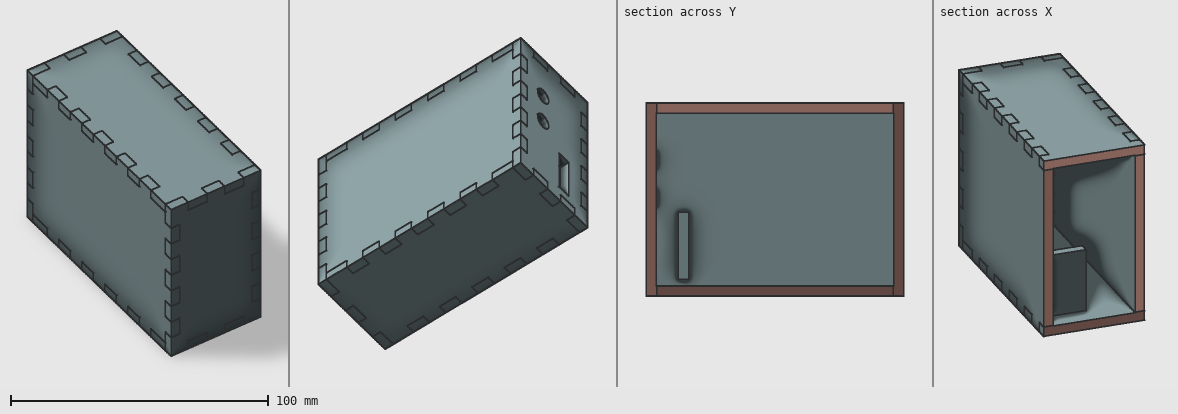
import cadquery as cq

LENGTH = 100.0
DEPTH = 42.0
HEIGHT = 75.0
WALL = 4.0

INNER_LENGTH = LENGTH - 2 * WALL
INNER_HEIGHT = HEIGHT - 2 * WALL

SIDE_TAB = 8.0
SIDE_TAB_PITCH = 2 * SIDE_TAB
SIDE_TABS_ALONG_X = 5
SIDE_TABS_ALONG_Z = 4

LID_TAB = 9.0
LID_TAB_GAP = 8.0
LID_TAB_PITCH = LID_TAB + LID_TAB_GAP
LID_TABS_ALONG_Y = 2

WALL_X = (LENGTH - WALL) / 2
WALL_Y = (DEPTH - WALL) / 2
WALL_Z = (HEIGHT - WALL) / 2

HOLE_DIAMETER = 7.0
HOLE_FROM_BACK = 14.0
UPPER_HOLE_FROM_TOP = 22.0
HOLE_Y = DEPTH / 2 - HOLE_FROM_BACK
UPPER_HOLE_Z = HEIGHT / 2 - UPPER_HOLE_FROM_TOP
HOLE_SPACING = 15.0
SLOT_WIDTH = 6.0
SLOT_HEIGHT = 20.0
SLOT_FROM_FRONT = 12.0
SLOT_FROM_BASE = 8.0
SLOT_Y = -DEPTH / 2 + SLOT_FROM_FRONT + SLOT_WIDTH / 2
SLOT_Z = -HEIGHT / 2 + SLOT_FROM_BASE + SLOT_HEIGHT / 2

RIB_FACE_X = -37.5
RIB_REACH = 15.0
RIB_BOTTOM_Z = -31.0
RIB_TOP_Z = -5.0


def block(size, center):
    """Rectangular block with the given (x, y, z) size and center."""
    return cq.Workplane("XY").box(*size).translate(center)


def row(count, pitch):
    """Centers of evenly spaced tabs, symmetric about zero."""
    return [(i - (count - 1) / 2) * pitch for i in range(count)]


def side_tabs_into_lid(y, z):
    """Tabs of a front or back plate that fill notches in a top or bottom plate."""
    return [block((SIDE_TAB, WALL, WALL), (x, y, z)) for x in row(SIDE_TABS_ALONG_X, SIDE_TAB_PITCH)]


def side_tabs_into_end(x, y):
    """Tabs of a front or back plate that fill notches in an end plate."""
    return [block((WALL, WALL, SIDE_TAB), (x, y, z)) for z in row(SIDE_TABS_ALONG_Z, SIDE_TAB_PITCH)]


def lid_tabs_into_end(x, z):
    """Tabs of a top or bottom plate that fill notches in an end plate."""
    return [block((WALL, LID_TAB, WALL), (x, y, z)) for y in row(LID_TABS_ALONG_Y, LID_TAB_PITCH)]


def add_all(plate, tabs):
    for tab in tabs:
        plate = plate.union(tab)
    return plate


def cut_all(plate, notches):
    for notch in notches:
        plate = plate.cut(notch)
    return plate


def side_plate(y):
    """Front or back plate, with tabs on all four edges."""
    plate = block((INNER_LENGTH, WALL, INNER_HEIGHT), (0, y, 0))
    for z in (-WALL_Z, WALL_Z):
        plate = add_all(plate, side_tabs_into_lid(y, z))
    for x in (-WALL_X, WALL_X):
        plate = add_all(plate, side_tabs_into_end(x, y))
    return plate


def lid_plate(z):
    """Top or bottom plate, with tabs on its ends and notches along its long edges."""
    plate = block((INNER_LENGTH, DEPTH, WALL), (0, 0, z))
    for x in (-WALL_X, WALL_X):
        plate = add_all(plate, lid_tabs_into_end(x, z))
    for y in (-WALL_Y, WALL_Y):
        plate = cut_all(plate, side_tabs_into_lid(y, z))
    return plate


def end_plate(x):
    """Left or right end plate, notched on all four edges and filling the box corners."""
    plate = block((WALL, DEPTH, HEIGHT), (x, 0, 0))
    for z in (-WALL_Z, WALL_Z):
        plate = cut_all(plate, lid_tabs_into_end(x, z))
    for y in (-WALL_Y, WALL_Y):
        plate = cut_all(plate, side_tabs_into_end(x, y))
    return plate


def cut_openings(plate):
    """Cut two round holes and one upright slot through the left end plate."""
    for z in (UPPER_HOLE_Z, UPPER_HOLE_Z - HOLE_SPACING):
        hole = cq.Workplane("YZ").circle(HOLE_DIAMETER / 2).extrude(WALL)
        plate = plate.cut(hole.translate((-LENGTH / 2, HOLE_Y, z)))
    return plate.cut(block((WALL, SLOT_WIDTH, SLOT_HEIGHT), (-WALL_X, SLOT_Y, SLOT_Z)))


def add_rib(plate):
    """Add the upright rib to the inner face of the back plate."""
    height = RIB_TOP_Z - RIB_BOTTOM_Z
    inner_face_y = DEPTH / 2 - WALL
    center = (RIB_FACE_X + WALL / 2, inner_face_y - RIB_REACH / 2, RIB_BOTTOM_Z + height / 2)
    return plate.union(block((WALL, RIB_REACH, height), center))


front_plate = side_plate(-WALL_Y)
back_plate = add_rib(side_plate(WALL_Y))
bottom_plate = lid_plate(-WALL_Z)
top_plate = lid_plate(WALL_Z)
left_plate = cut_openings(end_plate(-WALL_X))
right_plate = end_plate(WALL_X)

plates = [front_plate, back_plate, bottom_plate, top_plate, left_plate, right_plate]
result = cq.Compound.makeCompound([plate.solids().val() for plate in plates])